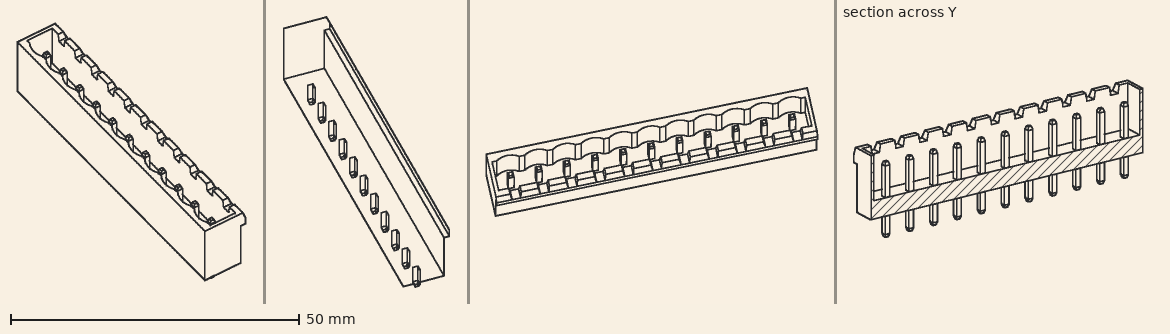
import cadquery as cq

pin_count = 11
pin_pitch = 5.0
pin_width = 1.0
pin_tail_length = 4.0
pin_top_recess = 2.0
pin_taper_length = 0.6
pin_taper_inset = 0.2

end_margin = 3.5
body_length = (pin_count - 1) * pin_pitch + 2 * end_margin
body_depth = 7.6
body_height = 12.0

lip_reach = 1.0
lip_height = 3.0
lip_bevel_reach = 0.6
lip_bevel_drop = 1.5

end_wall = 0.7
front_wall = 1.6
back_wall = 0.7
floor_thickness = 3.5

scallop_width = 4.0
scallop_sag = 0.6

notch_top_width = 2.0
notch_bottom_width = 1.5
notch_depth = 1.5

body_front = -body_depth / 2
body_back = body_depth / 2
lip_back = body_back + lip_reach
cavity_front = body_front + front_wall
cavity_back = body_back - back_wall
cavity_half_length = body_length / 2 - end_wall
pin_positions = [(i - (pin_count - 1) / 2) * pin_pitch for i in range(pin_count)]


def make_housing():
    """Solid housing: the side profile with its beveled lip, run along X."""
    return (
        cq.Workplane("YZ")
        .moveTo(body_front, 0)
        .lineTo(body_back, 0)
        .lineTo(body_back, body_height - lip_height)
        .lineTo(lip_back, body_height - lip_height)
        .lineTo(lip_back, body_height - lip_bevel_drop)
        .lineTo(lip_back - lip_bevel_reach, body_height)
        .lineTo(body_front, body_height)
        .close()
        .extrude(body_length / 2, both=True)
    )


def make_cavity():
    """Plug cavity with a scalloped front side."""
    outline = (
        cq.Workplane("XY", origin=(0, 0, floor_thickness))
        .moveTo(-cavity_half_length, cavity_back)
        .lineTo(-cavity_half_length, cavity_front)
    )
    for x in pin_positions:
        outline = outline.lineTo(x - scallop_width / 2, cavity_front).threePointArc(
            (x, cavity_front - scallop_sag),
            (x + scallop_width / 2, cavity_front),
        )
    return (
        outline.lineTo(cavity_half_length, cavity_front)
        .lineTo(cavity_half_length, cavity_back)
        .close()
        .extrude(body_height - floor_thickness)
    )


def make_notch(x):
    """Notch through the back rim, narrowing towards its floor."""
    notch_floor = body_height - notch_depth
    return (
        cq.Workplane("XZ", origin=(x, lip_back, 0))
        .moveTo(-notch_bottom_width / 2, notch_floor)
        .lineTo(notch_bottom_width / 2, notch_floor)
        .lineTo(notch_top_width / 2, body_height)
        .lineTo(-notch_top_width / 2, body_height)
        .close()
        .extrude(lip_back - cavity_back)
    )


def make_pin(x):
    """Square pin with both ends tapered."""
    pin_length = pin_tail_length + body_height - pin_top_recess
    return (
        cq.Workplane("XY", origin=(x, 0, -pin_tail_length))
        .rect(pin_width, pin_width)
        .extrude(pin_length)
        .faces("<Z or >Z")
        .chamfer(pin_taper_length, pin_taper_inset)
    )


result = make_housing().cut(make_cavity())
for pin_x in pin_positions:
    result = result.cut(make_notch(pin_x)).union(make_pin(pin_x))